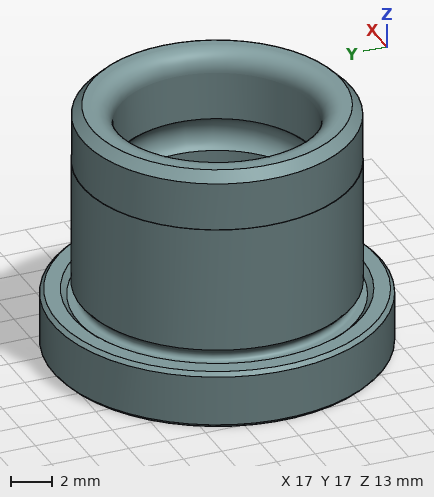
import cadquery as cq
import math


total_height = 13.0
head_radius = 8.5
head_height = 3.0
head_chamfer = 0.2
body_radius = 7.0

lead_radius = body_radius - 0.025
lead_length = 3.0
lead_chamfer = 0.5

bore_radius = 5.0
mouth_fillet = 1.0

groove_arc_radius = 1.0
groove_depth = 0.5
groove_height = 8.65

relief_outer_radius = 7.5
relief_depth = 0.3
relief_rise = 0.45
relief_top = head_height + relief_rise
relief_fillet = 0.25
relief_floor = head_height - relief_depth
relief_corner_radius = body_radius - (relief_top - relief_floor)


def outer_profile():
    """Half section of the solid bush, from the axis outward and up the outside."""
    lead_start = total_height - lead_length
    return (
        cq.Workplane("XZ")
        .moveTo(0, 0)
        .lineTo(head_radius - head_chamfer, 0)
        .lineTo(head_radius, head_chamfer)
        .lineTo(head_radius, head_height - head_chamfer)
        .lineTo(head_radius - head_chamfer, head_height)
        .lineTo(relief_outer_radius, head_height)
        .lineTo(relief_outer_radius - relief_depth, relief_floor)
        .lineTo(relief_corner_radius, relief_floor)
        .lineTo(body_radius, relief_top)
        .lineTo(body_radius, lead_start)
        .lineTo(lead_radius, lead_start)
        .lineTo(lead_radius, total_height - lead_chamfer)
        .lineTo(lead_radius - lead_chamfer, total_height)
        .lineTo(0, total_height)
        .close()
    )


def make_blank():
    """Solid bush with the acute corner of the relief rounded."""
    blank = outer_profile().revolve(360, (0, 0, 0), (0, 1, 0))
    margin = 0.01
    reach = relief_corner_radius + margin
    corner = cq.selectors.BoxSelector(
        (-reach, -reach, relief_floor - margin),
        (reach, reach, relief_floor + margin),
        boundingbox=True,
    )
    return blank.edges(corner).fillet(relief_fillet)


def make_bore():
    """Cutter for the through bore, its lubrication groove and its rounded mouth."""
    groove_centre_radius = bore_radius + groove_depth - groove_arc_radius
    half_width = math.sqrt(groove_arc_radius**2 - (bore_radius - groove_centre_radius) ** 2)
    mouth_start = total_height - mouth_fillet
    mouth_mid = mouth_fillet * (1 - math.sqrt(0.5))
    return (
        cq.Workplane("XZ")
        .moveTo(0, 0)
        .lineTo(bore_radius, 0)
        .lineTo(bore_radius, groove_height - half_width)
        .threePointArc(
            (bore_radius + groove_depth, groove_height),
            (bore_radius, groove_height + half_width),
        )
        .lineTo(bore_radius, mouth_start)
        .threePointArc(
            (bore_radius + mouth_mid, total_height - mouth_mid),
            (bore_radius + mouth_fillet, total_height),
        )
        .lineTo(0, total_height)
        .close()
        .revolve(360, (0, 0, 0), (0, 1, 0))
    )


result = make_blank().cut(make_bore())